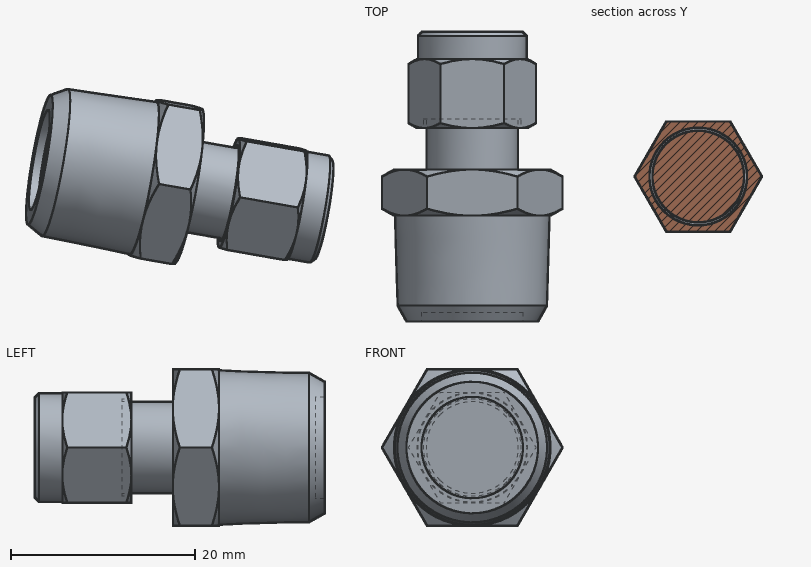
import cadquery as cq
import math

thread_chamfer_end = 1.73
body_hex_start = 11.5
body_hex_end = 16.5
nut_start = 21.0
nut_end = 28.5
total_length = 31.5
sleeve_chamfer = 0.47

thread_tip_diameter = 14.3
thread_small_diameter = 16.25
thread_large_diameter = 16.82
neck_diameter = 10.0
nut_bore_diameter = 10.58
nut_bore_depth = 1.0
sleeve_diameter = 11.85
recess_diameter = 11.02
recess_depth = 1.0

body_across_flats = 17.0
nut_across_flats = 12.0
hex_chamfer_angle = math.radians(30)


def revolve_profile(points):
    """Revolve a closed (radius, Y) outline about the Y axis."""
    return cq.Workplane("XY").polyline(points).close().revolve(360, (0, 0, 0), (0, 1, 0))


def cylinder(diameter, start, end):
    radius = diameter / 2
    return revolve_profile([(0, start), (radius, start), (radius, end), (0, end)])


def chamfered_hex(across_flats, start, end):
    """Hexagonal prism whose corners are turned down at both ends to the flats' inscribed circle."""
    across_corners = across_flats / math.cos(math.radians(30))
    flat_radius = across_flats / 2
    corner_radius = across_corners / 2
    chamfer_height = (corner_radius - flat_radius) * math.tan(hex_chamfer_angle)
    prism = (
        cq.Workplane("XZ", origin=(0, start, 0))
        .polygon(6, across_corners)
        .extrude(start - end)
    )
    turned_envelope = revolve_profile([
        (0, start),
        (flat_radius, start),
        (corner_radius, start + chamfer_height),
        (corner_radius, end - chamfer_height),
        (flat_radius, end),
        (0, end),
    ])
    return prism.intersect(turned_envelope)


thread = revolve_profile([
    (0, 0),
    (thread_tip_diameter / 2, 0),
    (thread_small_diameter / 2, thread_chamfer_end),
    (thread_large_diameter / 2, body_hex_start),
    (0, body_hex_start),
])

body_hex = chamfered_hex(body_across_flats, body_hex_start, body_hex_end)
nut_bore_end = nut_start + nut_bore_depth
neck = cylinder(neck_diameter, body_hex_end, nut_bore_end)

nut_bore = cylinder(nut_bore_diameter, nut_start, nut_bore_end)
nut_hex = chamfered_hex(nut_across_flats, nut_start, nut_end).cut(nut_bore)
sleeve = cylinder(sleeve_diameter, nut_end, total_length).faces(">Y").chamfer(sleeve_chamfer)

recess = cylinder(recess_diameter, 0, recess_depth)

result = thread.union(body_hex).union(neck).union(nut_hex).union(sleeve).cut(recess)